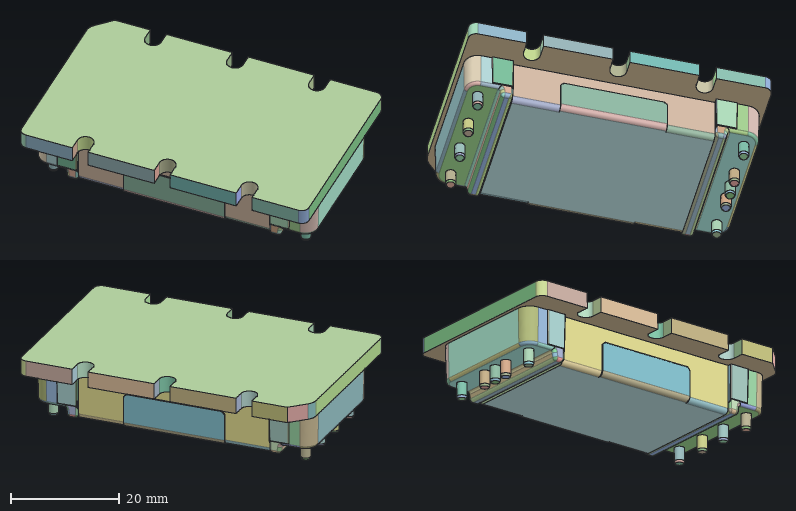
import cadquery as cq
import math


plate_length = 57.9
plate_width = 36.85
plate_thickness = 3.1
plate_corner_radius = 1.5
key_chamfer = 3.7
key_blend_radius = 2.65
notch_width = 3.2
notch_depth = 4.05
notch_pitch = 16.5

draft_angle = 1.0
case_length = 56.4
case_width = 26.5
case_corner_radius = 2.65
shelf_depth = 7.5
shelf_fillet = 0.6
foot_length = 43.45
foot_depth = 9.45
foot_width = 26.3
foot_root_depth = 4.65
foot_draft_angle = 8.0
foot_fillet = 0.7
foot_inner_fillet = 0.35
blend_radius = 0.45

middle_length = 38.7
middle_width = 25.15
middle_depth = 9.6
middle_fillet = 1.0

pad_outer_x = 23.45
pad_width = 27.0
pad_depth = 6.85
pad_edge_fillet = 0.145
panel_length = 20.4
panel_width = 25.7
panel_top_depth = 2.85
panel_corner_chamfer = 0.6

total_height = 13.8
pin_diameter = 1.95
pin_row_x = 25.4
outer_pin_y = 10.15
inner_pin_y = 3.2
pin_tip_taper = 0.2
pin_tip_height = 0.45

pin_end_depth = total_height - plate_thickness
input_pin_ys = (-outer_pin_y, -inner_pin_y, inner_pin_y, outer_pin_y)
output_pin_ys = (-outer_pin_y, -inner_pin_y, 0.0, inner_pin_y, outer_pin_y)


def make_plate():
    """Flat baseplate with a keyed corner and mounting notches."""
    plate = cq.Workplane("XY").rect(plate_length, plate_width).extrude(plate_thickness)
    plate = plate.edges("|Z and (>X or <Y)").fillet(plate_corner_radius)
    plate = plate.edges("|Z and <X and >Y").chamfer(key_chamfer)
    key_edge = cq.selectors.NearestToPointSelector(
        (-plate_length / 2, plate_width / 2 - key_chamfer, plate_thickness / 2)
    )
    plate = plate.edges(key_edge).fillet(key_blend_radius)
    for side in (-1, 1):
        for column in (-1, 0, 1):
            notch = (
                cq.Workplane("XY")
                .center(column * notch_pitch, side * plate_width / 2)
                .slot2D(2 * notch_depth, notch_width, 90)
                .extrude(plate_thickness)
            )
            plate = plate.cut(notch)
    return plate


def make_shelf_block():
    """Drafted case block whose underside forms the pin shelves."""
    block = (
        cq.Workplane("XY")
        .sketch()
        .rect(case_length, case_width)
        .vertices()
        .fillet(case_corner_radius)
        .finalize()
        .extrude(-shelf_depth, taper=draft_angle)
    )
    return block.faces("<Z").edges().fillet(shelf_fillet)


def make_foot(side):
    """One end of the foot; side is -1 for the -X end and +1 for the +X end."""
    slope_height = foot_depth - shelf_depth - blend_radius
    slope_run = slope_height * math.tan(math.radians(foot_draft_angle))
    tip_x = foot_length / 2 - slope_run
    flare_x = foot_length / 2 + blend_radius
    profile = (
        cq.Workplane("XZ")
        .moveTo(middle_length / 2, -foot_depth)
        .lineTo(tip_x, -foot_depth)
        .lineTo(foot_length / 2, -shelf_depth - blend_radius)
        .radiusArc((flare_x, -shelf_depth), blend_radius)
        .lineTo(flare_x, -foot_root_depth)
        .lineTo(middle_length / 2, -foot_root_depth)
        .close()
    )
    foot = profile.extrude(foot_width / 2, both=True)
    foot = foot.edges("|Z and <X").fillet(foot_inner_fillet)
    foot = foot.faces("<Y or >Y or <Z").edges("not <X").fillet(foot_fillet)
    return foot if side > 0 else foot.mirror("YZ")


def make_middle_block():
    """Full-depth block between the two ends of the foot."""
    block = cq.Workplane("XY").rect(middle_length, middle_width).extrude(-middle_depth)
    return block.edges("|X and <Z").fillet(middle_fillet)


def make_panels():
    """A thin panel on each long side of the middle block, wrapping onto its underside."""
    panels = (
        cq.Workplane("XY")
        .workplane(offset=-middle_depth)
        .rect(panel_length, panel_width)
        .extrude(middle_depth - panel_top_depth)
    )
    panels = panels.edges("|Y and >Z").chamfer(panel_corner_chamfer)
    return panels.edges("|X and <Z").fillet(middle_fillet)


def make_pads(side):
    """The pads at one end of the case, on both long sides."""
    pad_length = pad_outer_x - middle_length / 2
    pad_center_x = (pad_outer_x + middle_length / 2) / 2
    return (
        cq.Workplane("XY")
        .center(side * pad_center_x, 0)
        .rect(pad_length, pad_width)
        .extrude(-pad_depth, taper=draft_angle)
        .edges("not #Z")
        .fillet(pad_edge_fillet)
    )


def make_housing():
    """Baseplate and case joined as one solid."""
    middle_gap = cq.Workplane("XY").rect(middle_length, plate_width).extrude(-shelf_depth)
    housing = make_plate().union(make_shelf_block().cut(middle_gap))
    for side in (-1, 1):
        housing = housing.union(make_foot(side))
        housing = housing.union(make_pads(side))
    return housing.union(make_middle_block()).union(make_panels())


def make_pin(x, y):
    """Round pin with a tapered tip, standing on a shelf."""
    shank = (
        cq.Workplane("XY", origin=(x, y, -shelf_depth))
        .circle(pin_diameter / 2)
        .extrude(-(pin_end_depth - pin_tip_height - shelf_depth))
    )
    tip_angle = math.degrees(math.atan(pin_tip_taper / pin_tip_height))
    tip = (
        cq.Workplane("XY", origin=(x, y, -(pin_end_depth - pin_tip_height)))
        .circle(pin_diameter / 2)
        .extrude(-pin_tip_height, taper=tip_angle)
    )
    return shank.union(tip)


housing = make_housing()
pins = [make_pin(-pin_row_x, y).val() for y in input_pin_ys]
pins += [make_pin(pin_row_x, y).val() for y in output_pin_ys]
result = cq.Compound.makeCompound([housing.val(), *pins])